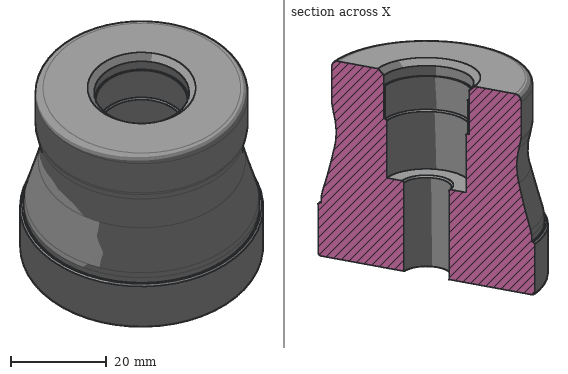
import cadquery as cq

foot_radius = 25.4
height = 44.45
foot_height = 12.0
foot_bottom_round = 0.75
foot_top_chamfer = 0.4
collar_radius = 24.65
collar_top = 13.45
cone_bottom_radius = 24.4
cone_bottom = 14.6
cone_top_radius = 21.65
cone_top = 24.65
waist_radius = 21.2
waist_height = 28.7
neck_top_radius = 21.8
neck_top = 32.7
head_radius = 22.2
head_undercut_radius = 22.1
head_undercut = 34.25
head_bottom = 34.8
head_round = 1.6

mouth_radius = 11.3
bore_radius = 9.9
mouth_chamfer = 1.25
floor_height = 20.3
hole_radius = 5.25
hole_chamfer = 0.4

bushing_radius = bore_radius
bushing_wall = 0.35
bushing_bore_radius = bushing_radius - bushing_wall
bushing_top = height - 3.5
bushing_length = 7.4
bushing_bottom = bushing_top - bushing_length
chamber_radius = 9.2
ledge_chamfer = bushing_bore_radius - chamber_radius


def make_housing_blank():
    """Solid of revolution of the outer outline."""
    profile = (
        cq.Workplane("XZ")
        .lineTo(foot_radius, 0)
        .lineTo(foot_radius, foot_height)
        .lineTo(collar_radius, foot_height)
        .lineTo(collar_radius, collar_top)
        .lineTo(cone_bottom_radius, cone_bottom)
        .lineTo(cone_top_radius, cone_top)
        .threePointArc((waist_radius, waist_height), (neck_top_radius, neck_top))
        .lineTo(head_undercut_radius, head_undercut)
        .lineTo(head_radius, head_bottom)
        .lineTo(head_radius, height)
        .lineTo(0, height)
        .close()
    )
    blank = profile.revolve(360, (0, 0, 0), (0, 1, 0))
    blank = blank.faces(">Z").edges().fillet(head_round)
    blank = blank.faces("<Z").edges().fillet(foot_bottom_round)
    foot_rim = cq.selectors.RadiusNthSelector(-1)
    return blank.edges(foot_rim).edges(">Z").chamfer(foot_top_chamfer)


def make_bore():
    """Cutter for the mouth, the bushing seat, the chamber and the through hole."""
    return (
        cq.Workplane("XZ")
        .lineTo(hole_radius, 0)
        .lineTo(hole_radius, floor_height - hole_chamfer)
        .lineTo(hole_radius + hole_chamfer, floor_height)
        .lineTo(chamber_radius, floor_height)
        .lineTo(chamber_radius, bushing_bottom - ledge_chamfer)
        .lineTo(bushing_bore_radius, bushing_bottom)
        .lineTo(bore_radius, bushing_bottom)
        .lineTo(bore_radius, height - mouth_chamfer)
        .lineTo(mouth_radius, height)
        .lineTo(0, height)
        .close()
        .revolve(360, (0, 0, 0), (0, 1, 0))
    )


def make_bushing():
    """Plain ring filling the bore between the ledge and its own top."""
    return (
        cq.Workplane("XY", origin=(0, 0, bushing_bottom))
        .circle(bushing_radius)
        .circle(bushing_bore_radius)
        .extrude(bushing_length)
    )


housing = make_housing_blank().cut(make_bore())
bushing = make_bushing()

result = cq.Compound.makeCompound([housing.val(), bushing.val()])